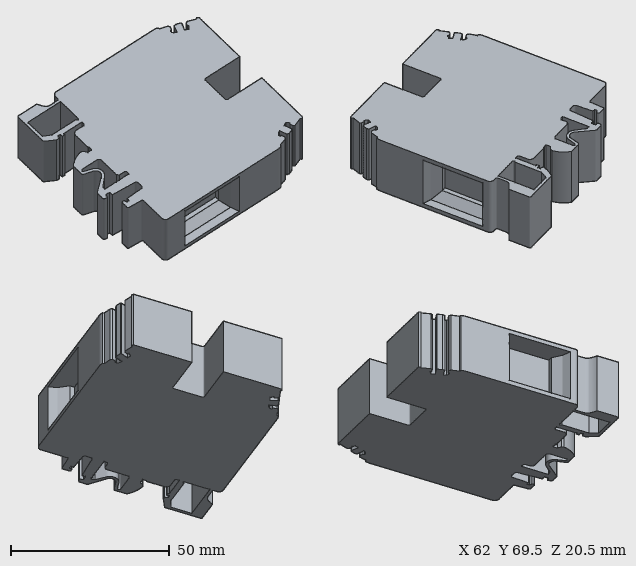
import cadquery as cq
import math

WIDTH = 62.0
LENGTH = 69.5
THICKNESS = 20.5
HALF_WIDTH = WIDTH / 2

HOUSING_BOTTOM = 9.4
LEFT_STEP_Y = 14.3
LEFT_STEP_X = -14.95
CORNER_RADIUS = 1.5
SMALL_RADIUS = 0.4
FOOT_RADIUS = 0.6
SLOT_RADIUS = 0.6

TOP_SLOT_WIDTH = 11.0
TOP_SLOT_BOTTOM = 55.1

WALL = 1.05
LEFT_WALL_OUTER = -28.0
SCOOP_RADIUS = 1.75
LEFT_LEG_RIGHT = -16.4
LEFT_LEG_LIP = -15.85
HOOK_RIGHT = -5.8
HOOK_RELIEF_LEFT = -7.2
HOOK_RELIEF_DEPTH = 0.3
SPRING_WINDOW_LEFT = -1.6
SPRING_WINDOW_RIGHT = 9.1
WINDOW_RADIUS = 1.0
RELIEF_LEFT = 7.6
RELIEF_TOP = 12.65
PRONG_BOTTOM = 3.7
PRONG_LEFT = 16.5
PRONG_TIP_RIGHT = 19.6
PRONG_RIGHT = 19.95
PRONG_GAP_RADIUS = 0.9

ARCH_X = 3.0
ARCH_Y = 4.1
ARCH_INNER_RADIUS = 1.9
SPRING_THICKNESS = 1.0
ARCH_OUTER_RADIUS = ARCH_INNER_RADIUS + SPRING_THICKNESS
ARCH_RIGHT_ANGLE = 41.0
ARCH_LEFT_ANGLE = 170.0

ENTRY_Y_MIN = 17.6
ENTRY_Y_MAX = 39.6
ENTRY_Z_MIN = 1.5
ENTRY_Z_MAX = THICKNESS - ENTRY_Z_MIN
LEAD_IN_DEPTH = 3.0
LEAD_IN_STEP = 1.1
TAPER_DEPTH = 3.0
TAPER_Y_STEP = 2.35
TAPER_Z_STEP = 2.65
ENTRY_END_DEPTH = 1.6


def plate(points):
    """Full-thickness plate with straight edges through the points."""
    return cq.Workplane("XY").polyline(points).close().extrude(THICKNESS)


def block(x_min, x_max, y_min, y_max):
    """Full-thickness rectangular block."""
    return plate([(x_min, y_min), (x_max, y_min), (x_max, y_max), (x_min, y_max)])


def round_corner(body, x, y, radius):
    """Fillet the upright edge that passes through (x, y)."""
    reach = 0.035
    box = cq.selectors.BoxSelector(
        (x - reach, y - reach, -reach),
        (x + reach, y + reach, THICKNESS + reach),
        boundingbox=True,
    )
    return body.edges(box).fillet(radius)


def arch_point(radius, angle):
    """Point on a circle about the spring arch centre."""
    turn = math.radians(angle)
    return ARCH_X + radius * math.cos(turn), ARCH_Y + radius * math.sin(turn)


def make_housing():
    """Block with stepped, notched shoulders and the opening in its top edge."""
    left_shoulder = [
        (-HALF_WIDTH, 55.5), (-30.9, 56.15), (-30.7, 56.85), (-30.1, 57.0),
        (-29.3, 59.7), (-28.6, 60.1), (-27.3, 59.6), (-27.3, 59.15),
        (-26.6, 59.1), (-26.05, 59.5), (-25.6, 60.4), (-28.15, 61.3),
        (-28.3, 62.1), (-27.65, 63.8), (-27.25, 63.8),
        (-24.8, 62.8), (-24.25, 64.0), (-25.15, 64.9), (-25.6, 64.6),
        (-26.6, 64.9), (-27.0, 65.55),
        (-25.85, 68.5), (-26.3, 68.9), (-25.85, LENGTH),
    ]
    right_shoulder = [(-x, y) for x, y in reversed(left_shoulder)]
    lower_corners = [
        (HALF_WIDTH, HOUSING_BOTTOM),
        (LEFT_STEP_X, HOUSING_BOTTOM),
        (LEFT_STEP_X, LEFT_STEP_Y),
        (-HALF_WIDTH, LEFT_STEP_Y),
    ]
    housing = plate(left_shoulder + right_shoulder + lower_corners)
    for x, y in lower_corners:
        inside_corner = (x, y) == (LEFT_STEP_X, LEFT_STEP_Y)
        housing = round_corner(housing, x, y, SLOT_RADIUS if inside_corner else CORNER_RADIUS)

    half_slot = TOP_SLOT_WIDTH / 2
    slot = block(-half_slot, half_slot, TOP_SLOT_BOTTOM, LENGTH)
    for x in (-half_slot, half_slot):
        slot = round_corner(slot, x, TOP_SLOT_BOTTOM, SLOT_RADIUS)
    return housing.cut(slot)


def make_left_leg():
    """Hollow leg with a scooped outer side and a small catch on its inner side."""
    scoop_top = 10.0
    foot_right = -18.1
    leg = (
        cq.Workplane("XY")
        .moveTo(LEFT_WALL_OUTER, LEFT_STEP_Y)
        .lineTo(LEFT_WALL_OUTER, scoop_top)
        .threePointArc((-29.3, 8.8), (-HALF_WIDTH, 7.9))
        .lineTo(-HALF_WIDTH, 0)
        .lineTo(foot_right, 0)
        .lineTo(LEFT_LEG_LIP, 3.6)
        .lineTo(LEFT_LEG_LIP, 4.7)
        .lineTo(-16.9, 4.9)
        .lineTo(-16.9, 5.9)
        .lineTo(LEFT_LEG_LIP, 5.9)
        .lineTo(LEFT_LEG_LIP, 6.95)
        .lineTo(LEFT_LEG_RIGHT, 6.95)
        .lineTo(LEFT_LEG_RIGHT, LEFT_STEP_Y)
        .close()
        .extrude(THICKNESS)
    )
    leg = round_corner(leg, -HALF_WIDTH, 0, SMALL_RADIUS)
    leg = round_corner(leg, foot_right, 0, FOOT_RADIUS)
    leg = round_corner(leg, LEFT_WALL_OUTER, scoop_top, SCOOP_RADIUS)

    window_left = -27.05
    window_right = -18.35
    window = plate([
        (window_left, LEFT_STEP_Y), (window_left, WALL), (-19.8, WALL),
        (window_right, 3.7), (window_right, LEFT_STEP_Y),
    ])
    relief = (
        cq.Workplane("XY")
        .center(window_right, LEFT_STEP_Y - SMALL_RADIUS)
        .circle(SMALL_RADIUS)
        .extrude(THICKNESS)
    )
    return leg.cut(window).cut(relief)


def make_spring_foot():
    """Hooked nose, column and the underside of the arched spring, before the window is cut."""
    foot_corners = [(0.15, WALL), (8.8, 0), (12.0, 0)]
    foot = (
        cq.Workplane("XY")
        .moveTo(HOOK_RIGHT, HOUSING_BOTTOM)
        .lineTo(HOOK_RIGHT, 8.05)
        .lineTo(-6.95, 7.3)
        .lineTo(-7.3, 6.6)
        .threePointArc((-6.3, 3.6), (-4.4, WALL))
        .lineTo(*foot_corners[0])
        .lineTo(*arch_point(ARCH_INNER_RADIUS, ARCH_LEFT_ANGLE))
        .threePointArc(
            arch_point(ARCH_INNER_RADIUS, 90),
            arch_point(ARCH_INNER_RADIUS, ARCH_RIGHT_ANGLE),
        )
        .lineTo(*foot_corners[1])
        .lineTo(*foot_corners[2])
        .lineTo(12.2, 1.45)
        .lineTo(11.05, 1.75)
        .lineTo(11.05, 3.3)
        .lineTo(12.4, 3.3)
        .lineTo(12.8, HOUSING_BOTTOM)
        .close()
        .extrude(THICKNESS)
    )
    for x, y in foot_corners:
        foot = round_corner(foot, x, y, FOOT_RADIUS)
    return foot


def make_spring_window():
    """Opening above the spring, with a relief slot beside the column."""
    window = (
        cq.Workplane("XY")
        .moveTo(SPRING_WINDOW_LEFT, HOUSING_BOTTOM)
        .lineTo(SPRING_WINDOW_LEFT, 2.5)
        .threePointArc((-1.1, 1.95), (-0.55, 2.35))
        .lineTo(*arch_point(ARCH_OUTER_RADIUS, ARCH_LEFT_ANGLE))
        .threePointArc(
            arch_point(ARCH_OUTER_RADIUS, 90),
            arch_point(ARCH_OUTER_RADIUS, ARCH_RIGHT_ANGLE),
        )
        .lineTo(7.8, 3.2)
        .lineTo(8.35, 3.0)
        .lineTo(SPRING_WINDOW_RIGHT, 3.0)
        .lineTo(SPRING_WINDOW_RIGHT, RELIEF_TOP)
        .lineTo(RELIEF_LEFT, RELIEF_TOP)
        .lineTo(RELIEF_LEFT, 10.1)
        .lineTo(6.9, HOUSING_BOTTOM)
        .close()
        .extrude(THICKNESS)
    )
    window = round_corner(window, SPRING_WINDOW_LEFT, HOUSING_BOTTOM, WINDOW_RADIUS)
    return round_corner(window, RELIEF_LEFT, RELIEF_TOP, SLOT_RADIUS)


def make_prong():
    """Right-hand prong with a small catch facing the column."""
    prong = plate([
        (16.25, HOUSING_BOTTOM), (PRONG_LEFT, 5.9),
        (17.45, 5.9), (17.45, 5.0), (PRONG_LEFT, 4.7),
        (PRONG_LEFT, PRONG_BOTTOM), (PRONG_TIP_RIGHT, PRONG_BOTTOM),
        (PRONG_RIGHT, HOUSING_BOTTOM),
    ])
    for x in (PRONG_LEFT, PRONG_TIP_RIGHT):
        prong = round_corner(prong, x, PRONG_BOTTOM, SMALL_RADIUS)
    return prong


def make_prong_gap():
    """Slot that runs up into the housing between the column and the prong."""
    gap = plate([
        (12.8, HOUSING_BOTTOM), (16.25, HOUSING_BOTTOM),
        (16.2, RELIEF_TOP), (13.0, RELIEF_TOP),
    ])
    for x in (13.0, 16.2):
        gap = round_corner(gap, x, RELIEF_TOP, PRONG_GAP_RADIUS)
    return gap


def make_wire_entry():
    """Funnel into the left side: lead-in, taper, then a straight end."""
    def section(depth, y_step, z_step):
        """Rectangular section at the given depth, narrowed from both Y sides and from below."""
        x = -HALF_WIDTH + depth
        y_min = ENTRY_Y_MIN + y_step
        y_max = ENTRY_Y_MAX - y_step
        z_min = ENTRY_Z_MIN + z_step
        corners = [(y_min, z_min), (y_max, z_min), (y_max, ENTRY_Z_MAX), (y_min, ENTRY_Z_MAX)]
        return cq.Wire.makePolygon([cq.Vector(x, y, z) for y, z in corners], close=True)

    taper_end = LEAD_IN_DEPTH + TAPER_DEPTH
    inner_y_step = LEAD_IN_STEP + TAPER_Y_STEP
    sections = [
        section(0, 0, 0),
        section(LEAD_IN_DEPTH, LEAD_IN_STEP, 0),
        section(taper_end, inner_y_step, TAPER_Z_STEP),
        section(taper_end + ENTRY_END_DEPTH, inner_y_step, TAPER_Z_STEP),
    ]
    funnel = cq.Workplane("XY")
    for outer, inner in zip(sections, sections[1:]):
        funnel = funnel.add(cq.Solid.makeLoft([outer, inner], True))
    return funnel.combine()


def make_frame():
    """Housing and rail parts joined, with the outer roots rounded and the openings cut."""
    frame = (
        make_housing()
        .union(make_left_leg())
        .union(make_spring_foot())
        .union(make_prong())
    )
    frame = round_corner(frame, LEFT_WALL_OUTER, LEFT_STEP_Y, SMALL_RADIUS)
    frame = round_corner(frame, PRONG_RIGHT, HOUSING_BOTTOM, SMALL_RADIUS)

    relief_top = HOUSING_BOTTOM + HOOK_RELIEF_DEPTH
    hook_relief = block(HOOK_RELIEF_LEFT, HOOK_RIGHT, HOUSING_BOTTOM, relief_top)
    return frame.cut(make_spring_window()).cut(make_prong_gap()).cut(hook_relief)


wire_entry = make_wire_entry()

result = make_frame().cut(wire_entry).cut(wire_entry.mirror("YZ"))